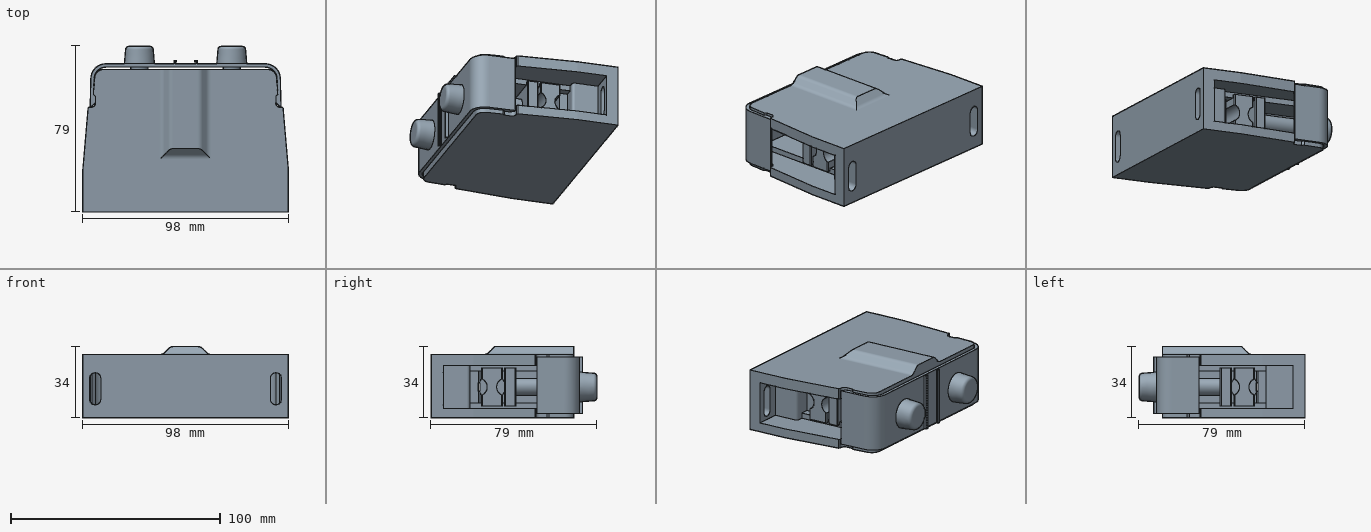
import cadquery as cq
import math

half_width = 49.0
housing_back = 68.0
housing_height = 30.2
taper_start = 20.2
mid_height = 14.7
shoulder_x = 46.5
shoulder_y = 50.0
shoulder_chamfer = 0.5
catch_floor_x = 43.0
catch_top_y = 55.1
catch_round = 1.9
strap_seat_x = 43.9
strap_seat_y = 56.1
corner_x = 43.4
corner_y = 63.7
housing_corner_radius = housing_back - corner_y

strap_bottom = 2.0
strap_top = 29.0
strap_back = 70.7
strap_thickness = 1.7
strap_corner_x = 45.2
strap_corner_radius = 7.3
strap_tip_x = 45.5
strap_tip_y = 50.4

rail_outer_x = 5.6
rail_stem = 0.7
rail_lip_reach = 1.3
rail_lip_thickness = 0.6
rail_height = 1.4

screw_x = 22.0
shaft_radius = 4.15
knob_base_radius = 7.2
knob_tip_radius = 6.5
knob_back = 79.0
knob_round = 1.7

ridge_height = 3.8
ridge_base_x = 10.95
ridge_front = 26.45
ridge_round = 3.0
half_flank_angle = math.radians(45 / 2)

slot_x = 43.0
slot_width = 5.2
slot_height = 15.3
slot_mid_height = 13.85

front_wall = 5.8
pocket_height = 20.4
shallow_wall_x = 36.0
step_x = 32.3
shallow_end = 18.5
pocket_round = 1.4
bay_height = 15.1
bay_back = 66.0
bay_wall_x = 14.0
ledge_x = 28.0
ledge_end = 22.5

clamp_x = 34.0
clamp_height = 17.9
clamp_chamfer = 0.5
plate_front = 35.0
plate_back = 40.4
block_front = 24.0
block_back = 33.9
groove_radius = 4.2
groove_depth = 2.7
recess_tip = 4.0
recess_reach = 1.2
recess_depth = 1.0
slit_width = 0.7
slit_depth = 1.0
window_height = 4.0


def box(x_range, y_range, z_range):
    """Box between pairs of limits."""
    limits = (x_range, y_range, z_range)
    sizes = [high - low for low, high in limits]
    corner = [low for low, high in limits]
    return cq.Workplane("XY").box(*sizes, centered=False).translate(tuple(corner))


def about_middle(height):
    """Height limits of a feature centred on the clamp axis."""
    return (mid_height - height / 2, mid_height + height / 2)


def both_sides(shape):
    """A left-hand shape together with its mirror image on the right."""
    return shape.union(shape.mirror("YZ"))


def corner_arc_middle(center_x, center_y, radius):
    """Midpoint of a quarter round at the back right corner."""
    offset = radius * math.sqrt(0.5)
    return (center_x + offset, center_y + offset)


def make_housing_shell():
    corner_center_x = corner_x - housing_corner_radius
    groove_center = (catch_floor_x + catch_round, shoulder_y + catch_round)
    groove_offset = catch_round * math.sqrt(0.5)
    half = (
        cq.Workplane("XY")
        .moveTo(0, 0)
        .lineTo(half_width, 0)
        .lineTo(half_width, taper_start)
        .lineTo(shoulder_x, shoulder_y - shoulder_chamfer)
        .lineTo(shoulder_x - shoulder_chamfer, shoulder_y)
        .lineTo(groove_center[0], shoulder_y)
        .threePointArc(
            (groove_center[0] - groove_offset, groove_center[1] - groove_offset),
            (catch_floor_x, groove_center[1]),
        )
        .lineTo(catch_floor_x, catch_top_y)
        .lineTo(strap_seat_x, strap_seat_y)
        .lineTo(corner_x, corner_y)
        .threePointArc(
            corner_arc_middle(corner_center_x, corner_y, housing_corner_radius),
            (corner_center_x, housing_back),
        )
        .lineTo(0, housing_back)
        .close()
        .extrude(housing_height)
    )
    return both_sides(half)


def make_ridge():
    tangent = ridge_round * math.tan(half_flank_angle)
    leg = tangent * math.sqrt(0.5)
    arc_x = ridge_round * math.sin(half_flank_angle)
    arc_z = ridge_round * (1 - math.cos(half_flank_angle))
    top_x = ridge_base_x - ridge_height
    foot_x = ridge_base_x + tangent
    top_z = housing_height + ridge_height
    half = (
        cq.Workplane("XZ")
        .moveTo(0, housing_height)
        .lineTo(foot_x, housing_height)
        .threePointArc(
            (foot_x - arc_x, housing_height + arc_z),
            (ridge_base_x - leg, housing_height + leg),
        )
        .lineTo(top_x + leg, top_z - leg)
        .threePointArc((top_x - tangent + arc_x, top_z - arc_z), (top_x - tangent, top_z))
        .lineTo(0, top_z)
        .close()
        .extrude(-housing_back)
    )
    foot_y = ridge_front - tangent
    side_profile = (
        cq.Workplane("YZ")
        .moveTo(foot_y, housing_height)
        .threePointArc(
            (foot_y + arc_x, housing_height + arc_z),
            (ridge_front + leg, housing_height + leg),
        )
        .lineTo(ridge_front + ridge_height, top_z)
        .lineTo(housing_back, top_z)
        .lineTo(housing_back, housing_height)
        .close()
        .extrude(half_width, both=True)
    )
    return both_sides(half).intersect(side_profile)


def make_front_slots():
    return (
        cq.Workplane("XZ")
        .pushPoints([(-slot_x, slot_mid_height), (slot_x, slot_mid_height)])
        .slot2D(slot_height, slot_width, 90)
        .extrude(-(front_wall + shallow_end))
    )


def make_left_pocket():
    bottom = about_middle(pocket_height)[0]
    round_offset = pocket_round * (1 - math.sqrt(0.5))
    opening = (
        cq.Workplane("XY", origin=(0, 0, bottom))
        .moveTo(-half_width, front_wall)
        .lineTo(-shallow_wall_x, front_wall)
        .lineTo(-shallow_wall_x, shallow_end - pocket_round)
        .threePointArc(
            (-shallow_wall_x + round_offset, shallow_end - round_offset),
            (-shallow_wall_x + pocket_round, shallow_end),
        )
        .lineTo(-step_x, shallow_end)
        .lineTo(-step_x, housing_back)
        .lineTo(-half_width, housing_back)
        .close()
        .extrude(pocket_height)
    )
    bay_z = about_middle(bay_height)
    ledge_bay = box((-step_x, -ledge_x), (shallow_end, bay_back), bay_z)
    deep_bay = box((-step_x, -bay_wall_x), (ledge_end, bay_back), bay_z)
    return opening.union(ledge_bay).union(deep_bay)


def make_recess(root_y, direction):
    """Recess in the middle wall: groove arc on one side of root_y, taper along +Y or -Y on the other."""
    tip_y = root_y + direction * recess_reach
    half_root = math.sqrt(groove_radius**2 - (groove_radius - groove_depth) ** 2)
    half_tip = recess_tip / 2
    return (
        cq.Workplane("YZ", origin=(-bay_wall_x, 0, mid_height))
        .moveTo(root_y, -half_root)
        .lineTo(tip_y, -half_tip)
        .lineTo(tip_y, half_tip)
        .lineTo(root_y, half_root)
        .threePointArc((root_y - direction * groove_depth, 0), (root_y, -half_root))
        .close()
        .extrude(recess_depth)
    )


def make_slit():
    x_range = (-bay_wall_x, -bay_wall_x + slit_depth)
    return box(x_range, (ledge_end, ledge_end + slit_width), about_middle(bay_height))


def make_clamp_bar(front, back):
    x_range = (-clamp_x, -bay_wall_x)
    bar = box(x_range, (front, back), about_middle(clamp_height))
    return bar.faces("<X").edges("|Z").chamfer(clamp_chamfer)


def make_left_clamp():
    plate = make_clamp_bar(plate_front, plate_back)
    block = make_clamp_bar(block_front, block_back)
    groove_offset = groove_radius - groove_depth
    grooves = (
        cq.Workplane("YZ")
        .pushPoints([
            (block_front - groove_offset, mid_height),
            (block_back + groove_offset, mid_height),
        ])
        .circle(groove_radius)
        .extrude(-clamp_x)
    )
    return plate.union(block.cut(grooves))


def make_strap():
    center_x = strap_corner_x - strap_corner_radius
    center_y = strap_back - strap_corner_radius
    inner_radius = strap_corner_radius - strap_thickness
    inner_back = strap_back - strap_thickness
    half = (
        cq.Workplane("XY", origin=(0, 0, strap_bottom))
        .moveTo(0, strap_back)
        .lineTo(center_x, strap_back)
        .threePointArc(
            corner_arc_middle(center_x, center_y, strap_corner_radius),
            (strap_corner_x, center_y),
        )
        .lineTo(strap_tip_x, strap_tip_y)
        .lineTo(strap_tip_x - strap_thickness / 2, strap_tip_y)
        .lineTo(catch_floor_x, strap_tip_y + strap_thickness)
        .lineTo(catch_floor_x, catch_top_y)
        .lineTo(strap_seat_x, strap_seat_y)
        .lineTo(center_x + inner_radius, center_y)
        .threePointArc(
            corner_arc_middle(center_x, center_y, inner_radius),
            (center_x, inner_back),
        )
        .lineTo(0, inner_back)
        .close()
        .extrude(strap_top - strap_bottom)
    )
    return both_sides(half)


def make_label_rails():
    z_range = (strap_bottom, strap_top)
    rail_back = strap_back + rail_height
    lip_front = rail_back - rail_lip_thickness
    stem = box((-rail_outer_x, -rail_outer_x + rail_stem), (strap_back, rail_back), z_range)
    lip = box((-rail_outer_x, -rail_outer_x + rail_lip_reach), (lip_front, rail_back), z_range)
    return both_sides(stem.union(lip))


def make_left_screw():
    start = cq.Workplane("XZ", origin=(-screw_x, plate_back, mid_height))
    shaft = start.circle(shaft_radius).extrude(plate_back - strap_back)
    knob_length = knob_back - strap_back
    taper = math.degrees(math.atan((knob_base_radius - knob_tip_radius) / knob_length))
    base = cq.Workplane("XZ", origin=(-screw_x, strap_back, mid_height))
    knob = base.circle(knob_base_radius).extrude(-knob_length, taper=taper)
    knob = knob.faces(">Y").edges().fillet(knob_round)
    return shaft.union(knob)


housing = make_housing_shell().cut(both_sides(make_left_pocket())).cut(make_front_slots())
recesses = make_recess(block_front, -1).union(make_recess(block_back, 1))
housing = housing.cut(both_sides(recesses)).cut(both_sides(make_slit()))
through_window = box(
    (-half_width, half_width),
    (ledge_end, ledge_end + slit_width),
    about_middle(window_height),
)
housing = housing.cut(through_window)

result = (
    housing.union(make_ridge())
    .union(both_sides(make_left_clamp()))
    .union(make_strap())
    .union(make_label_rails())
    .union(both_sides(make_left_screw()))
)